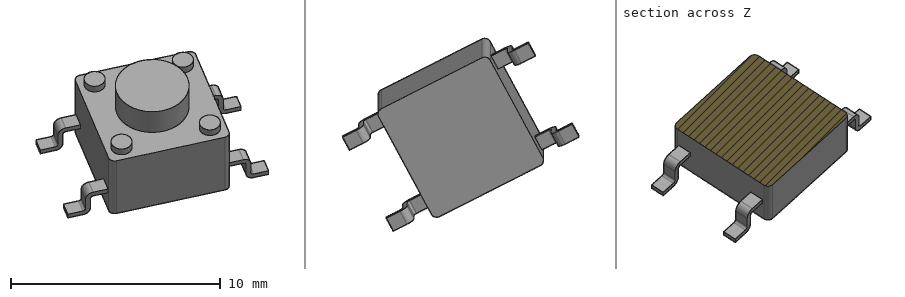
import cadquery as cq

body_side = 6.0
body_corner_radius = 0.3
cover_top = 3.57

button_diameter = 3.51
button_top = 4.97
rivet_diameter = 1.0
rivet_offset = 2.2
rivet_top = 3.95

lead_span = 10.0
lead_width = 0.72
lead_offset = 2.25
lead_thickness = 0.25
lead_top = 1.37
lead_outer_face = 4.12
bend_inner_radius = 0.13
lead_embed = 0.1


def make_housing():
    """Rounded square block standing on Z = 0."""
    block = cq.Workplane("XY").box(body_side, body_side, cover_top, centered=(True, True, False))
    return block.edges("|Z").fillet(body_corner_radius)


def make_posts(points, diameter, top):
    """Round posts rising from the cover to the given height."""
    return (
        cq.Workplane("XY", origin=(0, 0, cover_top))
        .pushPoints(points)
        .circle(diameter / 2)
        .extrude(top - cover_top)
    )


def make_lead(x_center):
    """Lead leaving the +Y wall, stepping down to a foot resting on Z = 0."""
    root = body_side / 2 - lead_embed
    tip = lead_span / 2
    inner_face = lead_outer_face - lead_thickness
    bend_outer_radius = bend_inner_radius + lead_thickness
    shank_top = lead_top - bend_outer_radius
    shank_bottom = bend_outer_radius
    bend_start = lead_outer_face - bend_outer_radius
    bend_end = inner_face + bend_outer_radius
    profile = (
        cq.Workplane("YZ", origin=(x_center, 0, 0))
        .moveTo(root, lead_top)
        .lineTo(bend_start, lead_top)
        .radiusArc((lead_outer_face, shank_top), bend_outer_radius)
        .lineTo(lead_outer_face, shank_bottom)
        .radiusArc((bend_end, lead_thickness), -bend_inner_radius)
        .lineTo(tip, lead_thickness)
        .lineTo(tip, 0)
        .lineTo(bend_end, 0)
        .radiusArc((inner_face, shank_bottom), bend_outer_radius)
        .lineTo(inner_face, shank_top)
        .radiusArc((bend_start, lead_top - lead_thickness), -bend_inner_radius)
        .lineTo(root, lead_top - lead_thickness)
        .close()
    )
    return profile.extrude(lead_width / 2, both=True)


rivet_points = [(x, y) for x in (-rivet_offset, rivet_offset) for y in (-rivet_offset, rivet_offset)]

result = make_housing()
result = result.union(make_posts([(0, 0)], button_diameter, button_top))
result = result.union(make_posts(rivet_points, rivet_diameter, rivet_top))
for x_center in (-lead_offset, lead_offset):
    lead = make_lead(x_center)
    result = result.union(lead).union(lead.mirror("XZ"))